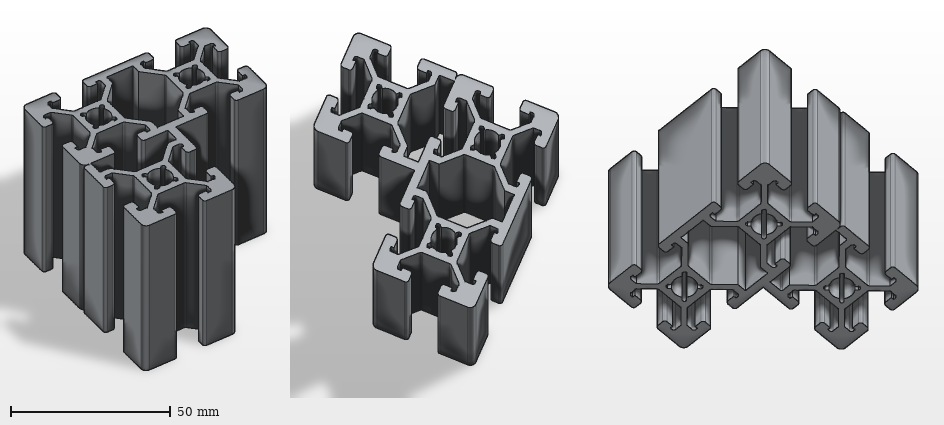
import cadquery as cq
import math

length = 60.0
cell = 35.0
half_cell = cell / 2

corner_cell = (0.0, 0.0)
upper_cell = (0.0, cell)
right_cell = (cell, 0.0)

half_core = 6.5
web_thickness = 2.0
web_offset = web_thickness / math.sqrt(2)

bend_radius = 1.0

half_mouth = 5.0
lip_thickness = 4.0
lip_radius = 1.0
half_hook = 8.5
hook_depth = 3.0
hook_radius = 0.8
half_slot = 10.0

chamber_wall = 3.0
chamber_half_height = 4.9

side_chamber_half_width = 14.45
side_chamber_web = 2.4
side_chamber_radius = 0.5

setback = 0.05
joint_groove_depth = 2.2

bore_radius = 4.15
bore_groove_width = 1.5
bore_groove_half_square = 4.25
bore_groove_radius = 0.5

outer_radius = 2.0
flange_radius = 1.0

UP, LEFT, DOWN, RIGHT = 0, 90, 180, 270


def prism(outline):
    """Extrude a closed wire over the whole length."""
    return outline.extrude(length)


def box(x_min, y_min, x_max, y_max):
    """Full-length block between two corners."""
    centre_x = (x_min + x_max) / 2
    centre_y = (y_min + y_max) / 2
    return prism(cq.Workplane("XY").center(centre_x, centre_y).rect(x_max - x_min, y_max - y_min))


def round_corner(shape, x, y, radius):
    """Fillet the lengthwise edge at one corner."""
    edge = cq.selectors.NearestToPointSelector((x, y, length / 2))
    return shape.edges("|Z").edges(edge).fillet(radius)


def round_corners(shape, corners, radius):
    """Fillet the lengthwise edges at several corners."""
    for x, y in corners:
        shape = round_corner(shape, x, y, radius)
    return shape


def make_blank():
    """Solid L of three cells."""
    lower = box(-half_cell, -half_cell, cell + half_cell, half_cell)
    upright = box(-half_cell, -half_cell, half_cell, cell + half_cell)
    return lower.union(upright)


def make_slot():
    """T-slot cutter for the upper side of a cell on the origin."""
    top = half_cell
    bottom = half_cell - lip_thickness
    flared = half_mouth + lip_radius
    arc_inset = lip_radius * (1 - math.sqrt(0.5))
    arc_x = half_mouth + arc_inset
    half = prism(
        cq.Workplane("XY")
        .moveTo(0, top)
        .lineTo(flared, top)
        .threePointArc((arc_x, top - arc_inset), (half_mouth, top - lip_radius))
        .lineTo(half_mouth, bottom + lip_radius)
        .threePointArc((arc_x, bottom + arc_inset), (flared, bottom))
        .lineTo(half_hook, bottom)
        .lineTo(half_hook, top - hook_depth)
        .lineTo(half_slot, top - hook_depth)
        .lineTo(half_slot, half_slot + web_offset)
        .lineTo(half_core - web_offset, half_core)
        .lineTo(0, half_core)
        .close()
    )
    half = round_corner(half, half_slot, top - hook_depth, hook_radius)
    half = round_corner(half, half_core - web_offset, half_core, bend_radius)
    return half.union(half.mirror("YZ"))


def make_closed_chamber():
    """Octagonal chamber between the corner and upper cells."""
    half_width = half_cell - chamber_wall
    shoulder_y = half_cell - chamber_half_height
    quarter = [
        (half_core - web_offset, half_core),
        (shoulder_y - web_offset, shoulder_y),
        (half_width, shoulder_y),
    ]
    right_side = quarter + [(x, cell - y) for x, y in reversed(quarter)]
    left_side = [(-x, y) for x, y in reversed(right_side)]
    chamber = prism(cq.Workplane("XY").polyline(right_side + left_side).close())
    core_bends = [point for point in right_side + left_side if abs(point[0]) < half_core]
    return round_corners(chamber, core_bends, bend_radius)


def make_side_chamber():
    """Chamber on the left of the right cell, open toward the corner cell's slot."""
    shoulder = half_slot + side_chamber_web
    corner = (-shoulder, side_chamber_half_width)
    core_bend = (-half_core, half_core - web_offset)
    upper_side = [
        (-half_cell, side_chamber_half_width),
        corner,
        (-shoulder, shoulder - web_offset),
        core_bend,
    ]
    lower_side = [(x, -y) for x, y in reversed(upper_side)]
    outline = cq.Workplane("XY").polyline(upper_side + lower_side).close()
    chamber = prism(outline)
    for side in (1, -1):
        chamber = round_corner(chamber, corner[0], side * corner[1], side_chamber_radius)
        chamber = round_corner(chamber, core_bend[0], side * core_bend[1], bend_radius)
    return chamber.translate((*right_cell, 0))


def make_bore():
    """Round bore with diagonal grooves that end in rounded right angles."""
    groove_length = 4 * bore_groove_half_square
    bore = prism(cq.Workplane("XY").circle(bore_radius))
    square = 2 * bore_groove_half_square
    limit = prism(cq.Workplane("XY").rect(square, square))
    limit = limit.edges("|Z").fillet(bore_groove_radius)
    for angle in (45, 135):
        groove = prism(cq.Workplane("XY").rect(groove_length, bore_groove_width))
        groove = groove.rotate((0, 0, 0), (0, 0, 1), angle)
        bore = bore.union(groove.intersect(limit))
    return bore


body = make_blank()

slot = make_slot()
open_sides = {
    corner_cell: (LEFT, DOWN, RIGHT),
    upper_cell: (UP, LEFT, RIGHT),
    right_cell: (UP, DOWN, RIGHT),
}
for (x, y), sides in open_sides.items():
    for angle in sides:
        turned = slot.rotate((0, 0, 0), (0, 0, 1), angle)
        body = body.cut(turned.translate((x, y, 0)))

body = body.cut(make_closed_chamber())
body = body.cut(make_side_chamber())
bore = make_bore()
for x, y in (corner_cell, upper_cell, right_cell):
    body = body.cut(bore.translate((x, y, 0)))

block_edge = half_cell - setback
body = body.cut(box(block_edge, -side_chamber_half_width, half_cell, -half_mouth))
body = body.cut(box(block_edge, -half_cell, half_cell, joint_groove_depth - half_cell))

far_edge = cell + half_cell
outer_corners = [
    (-half_cell, -half_cell),
    (-half_cell, far_edge),
    (half_cell, far_edge),
    (far_edge, half_cell),
    (far_edge, -half_cell),
    (block_edge, -half_cell),
]
body = round_corners(body, outer_corners, outer_radius)
body = round_corner(body, half_cell, -half_cell, flange_radius)

result = body